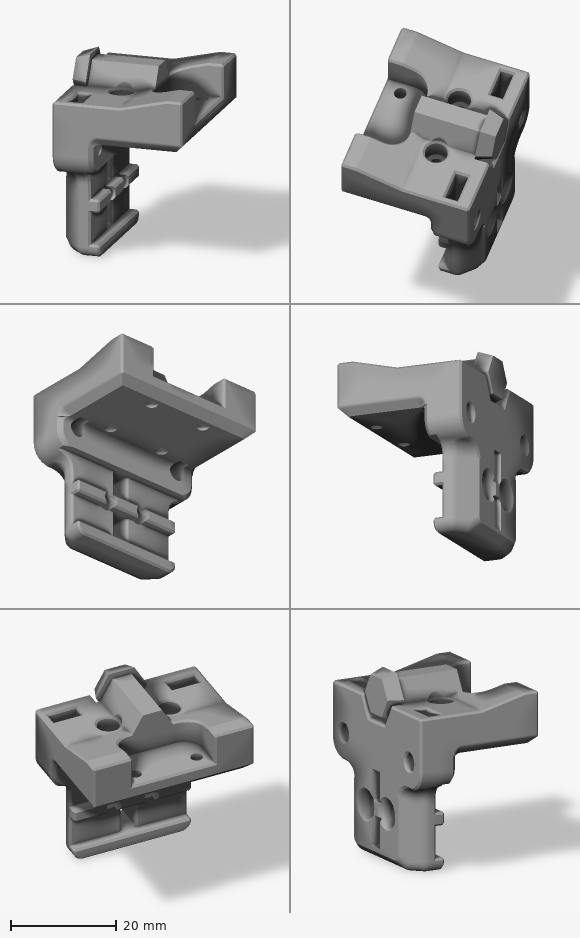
import cadquery as cq
import math

length = 26.0
width = 34.0
height = 37.45
edge_chamfer = 0.4

deck_top = 31.9
raised_top = 34.2
slope_start = 13.5
slope_end = 22.85
arm_bottom = 23.78
arm_bevel = 1.65
arm_bevel_round = 0.85
inner_corner_round = 0.9

plate_depth = 8.0
plate_bottom = 17.2
plate_corner_round = 4.0
plate_back_chamfer = 0.85

leg_width = 24.8
leg_side_bevel = 3.9
leg_bottom_bevel = 1.95
leg_round = 2.0
leg_plate_round = 3.0

leg_depth = 6.15
recess_height = 6.35
rib_height = 2.65
slot_width = 3.07
slot_corner_round = 0.4

leg_hole_spacing = 8.0
leg_hole_diameter = 3.2
leg_countersink_diameter = 6.55
plate_hole_spacing = 25.0
plate_hole_diameter = 3.4
plate_hole_height = 22.5
plate_hole_depth = 10.0

nut_pocket_start = 2.85
nut_pocket_thickness = 2.55
nut_pocket_width = 5.8

deck_hole_spacing = 12.9
deck_hole_diameter = 2.4
deck_hole_x = 10.5
notch_hole_x = 22.47
counterbore_diameter = 4.4
notch_start = 16.5
notch_width = 17.38
notch_floor = 27.8
notch_corner_round = 4.0

cap_flats = 9.45
cap_front_flats = 7.5
cap_length = 3.0
cap_back_gap = 0.15
cap_side_gap = 0.45
ridge_top = 36.25
ridge_top_width = 4.0
hex_centre = height - cap_flats / 2

half_width = width / 2
half_leg = leg_width / 2
rib_tops = [rib_height, 2 * rib_height + recess_height]
recess_top = rib_tops[-1] + recess_height

convex_y = half_width - plate_corner_round
convex_z = plate_bottom + plate_corner_round
concave_y = half_leg + leg_plate_round
centre_distance = plate_corner_round + leg_plate_round
concave_z = convex_z - math.sqrt(centre_distance**2 - (concave_y - convex_y) ** 2)

round_reach = arm_bevel_round * math.tan(math.pi / 8)
bevel_rise = arm_bevel + round_reach
corner_x = plate_depth - plate_back_chamfer + bevel_rise


def select_edges(body, test):
    """Edges whose centre passes the test, put back on the body's stack."""
    return body.newObject([edge for edge in body.edges().vals() if test(edge.Center())])


def box(x, y, z):
    """Box between the given (low, high) pairs."""
    sizes = (x[1] - x[0], y[1] - y[0], z[1] - z[0])
    return cq.Workplane("XY").box(*sizes, centered=False).translate((x[0], y[0], z[0]))


def prism_along_y(points, span):
    return cq.Workplane("XZ").polyline(points).close().extrude(span / 2, both=True)


def hexagon(front_flats, back_flats, x, depth):
    """Straight or tapered hexagonal prism along X, with a flat on top."""
    to_corners = 1 / math.cos(math.pi / 6)
    return (
        cq.Workplane("YZ", origin=(x, 0, hex_centre))
        .polygon(6, front_flats * to_corners)
        .workplane(offset=depth)
        .polygon(6, back_flats * to_corners)
        .loft(ruled=True)
    )


def on_both_sides(body):
    return body.union(body.mirror("XZ"))


def bevel_section():
    """Section removed at the arm's lower side edge: a 45 degree bevel rounded where it meets the side."""
    turn = math.pi / 8
    mid_y = half_width - arm_bevel_round * (1 - math.cos(turn))
    mid_z = bevel_rise - arm_bevel_round * math.sin(turn)
    bevel_end = round_reach * math.sqrt(0.5)
    return (
        cq.Workplane("YZ", origin=(corner_x, 0, arm_bottom))
        .moveTo(half_width - arm_bevel, 0)
        .lineTo(half_width - bevel_end, arm_bevel - bevel_end)
        .threePointArc((mid_y, mid_z), (half_width, bevel_rise))
        .lineTo(half_width, 0)
        .close()
    )


def chamfer_deck(arm):
    """Chamfers the arm's edges at the front, along both sides of the top and around the end."""

    def is_chamfered(centre):
        front = centre.x < 0.05 and centre.z > arm_bottom + 0.05
        side = abs(centre.y) > half_width - 0.05 and centre.z > deck_top - 0.05
        end = centre.x > length - 0.05 and centre.z > arm_bottom + 0.05
        return front or side or end

    return select_edges(arm, is_chamfered).chamfer(edge_chamfer)


def make_arm():
    """Deck with a ramp up to its raised end, bevelled along the underside beyond the plate."""
    outline = [
        (0, arm_bottom),
        (length, arm_bottom),
        (length, raised_top),
        (slope_end, raised_top),
        (slope_start, deck_top),
        (0, deck_top),
    ]
    arm = chamfer_deck(prism_along_y(outline, width))
    straight_bevel = bevel_section().extrude(length - corner_x)
    corner_bevel = bevel_section().revolve(360, (0, 0), (1, 0))
    for cutter in (straight_bevel, corner_bevel):
        arm = arm.cut(on_both_sides(cutter))
    bevel_top = arm_bottom + arm_bevel
    end_bevel = [(length, arm_bottom), (length, bevel_top), (length - arm_bevel, arm_bottom)]
    return arm.cut(prism_along_y(end_bevel, width))


def shoulder_outline():
    """Half outline of leg and plate, up to the arm."""
    share = plate_corner_round / centre_distance
    join_y = convex_y + share * (concave_y - convex_y)
    join_z = convex_z + share * (concave_z - convex_z)
    tilt = math.atan2(convex_z - concave_z, concave_y - convex_y)
    concave_mid = (
        concave_y - leg_plate_round * math.cos(tilt / 2),
        concave_z + leg_plate_round * math.sin(tilt / 2),
    )
    convex_mid = (
        convex_y + plate_corner_round * math.cos(tilt / 2),
        convex_z - plate_corner_round * math.sin(tilt / 2),
    )
    return (
        cq.Workplane("YZ")
        .lineTo(half_leg, 0)
        .lineTo(half_leg, concave_z)
        .threePointArc(concave_mid, (join_y, join_z))
        .threePointArc(convex_mid, (half_width, convex_z))
        .lineTo(half_width, arm_bottom)
        .lineTo(0, arm_bottom)
        .close()
    )


def side_bevel_cutter():
    """Removes the leg's front corner and runs out under the plate in a concave round."""
    slant = math.sqrt(0.5)
    run_out = plate_bottom - concave_z
    plane = cq.Plane(
        origin=(0, half_leg - leg_side_bevel, 0),
        xDir=(-slant, slant, 0),
        normal=(slant, slant, 0),
    )
    return (
        cq.Workplane(plane)
        .lineTo(0, concave_z)
        .threePointArc(
            (run_out * (1 - slant), concave_z + run_out * slant),
            (run_out, plate_bottom),
        )
        .lineTo(2 * leg_side_bevel, plate_bottom)
        .lineTo(2 * leg_side_bevel, 0)
        .close()
        .extrude(2 * leg_side_bevel, both=True)
    )


def round_leg(body):
    """Rounds the leg's front bevels, its lower corners and the run-out under the plate."""

    def is_rounded(centre):
        off_centre = abs(centre.y) > half_leg - leg_side_bevel
        side = leg_side_bevel - 0.37 < centre.x < leg_depth - 0.37 and 0.37 < centre.z < concave_z - 0.37
        bottom = centre.z < 0.05 and centre.x < leg_depth - 0.05
        mitre = 0.05 < centre.x < leg_bottom_bevel and 0.05 < centre.z < leg_bottom_bevel and off_centre
        run_out = 0.75 < centre.x < leg_side_bevel and concave_z + 0.37 < centre.z < plate_bottom - 0.05
        return side or bottom or mitre or run_out

    return select_edges(body, is_rounded).fillet(leg_round)


def make_slab():
    """Leg and front layer of the plate."""
    outline = on_both_sides(shoulder_outline().extrude(leg_depth))
    slab = outline.cut(on_both_sides(side_bevel_cutter()))
    bottom_bevel = [(0, 0), (leg_bottom_bevel, 0), (0, leg_bottom_bevel)]
    slab = round_leg(slab.cut(prism_along_y(bottom_bevel, leg_width)))
    leg = slab.intersect(box((0, leg_depth), (-half_width, half_width), (0, concave_z)))
    plate = slab.cut(leg)
    plate = plate.faces("<X").edges("not(<Z or >Z)").chamfer(edge_chamfer)
    slab = plate.union(leg)

    def is_leg_back(centre):
        return centre.x > leg_depth - 0.05 and 0.37 < centre.z < plate_bottom and abs(centre.y) > half_leg - 0.37

    return select_edges(slab, is_leg_back).chamfer(edge_chamfer)


def make_plate_back():
    """Rear layer of the plate with its chamfered rim and the round under the arm."""
    plate = on_both_sides(shoulder_outline().extrude(plate_depth))
    plate = plate.faces(">X").edges("not(<Z or >Z)").chamfer(plate_back_chamfer)
    layer = box((leg_depth - edge_chamfer, plate_depth), (-half_width, half_width), (recess_top, arm_bottom))
    plate = plate.intersect(layer)
    reach = inner_corner_round
    corner = (
        cq.Workplane("XZ", origin=(plate_depth, 0, arm_bottom))
        .lineTo(0, -reach)
        .threePointArc((reach * (1 - math.sqrt(0.5)), -reach * (1 - math.sqrt(0.5))), (reach, 0))
        .close()
        .extrude(half_width, both=True)
    )
    chamfer_end = half_width - plate_back_chamfer
    wedge = (
        cq.Workplane("XY", origin=(plate_depth, 0, arm_bottom - reach))
        .moveTo(0, chamfer_end)
        .lineTo(reach, chamfer_end - reach)
        .lineTo(reach, half_width)
        .lineTo(0, half_width)
        .close()
        .extrude(reach)
    )
    return plate.union(corner.cut(on_both_sides(wedge)))


def make_rib(top):
    """Rib across the back of the leg; the lowest one follows the leg's round lower corners."""
    bottom = top - rib_height
    rib = box((leg_depth - edge_chamfer, plate_depth), (-half_leg, half_leg), (bottom, top))
    if bottom == 0:
        rib = rib.edges("|X and <Z").fillet(leg_round)

    def is_chamfered(centre):
        tip = centre.x > plate_depth - 0.05
        side = abs(centre.y) > half_leg - 0.05 and centre.x > leg_depth
        on_recess = abs(centre.z - top) < 0.05 or 0 < bottom and abs(centre.z - bottom) < 0.05
        return tip or side and on_recess

    return select_edges(rib, is_chamfered).chamfer(edge_chamfer)


def notch_cutter():
    notch = box((notch_start, length), (-notch_width / 2, notch_width / 2), (notch_floor, raised_top))
    return notch.edges("|Z and <X").fillet(notch_corner_round)


def chamfer_notch(body):
    """Chamfers the notch's rim on the ramp and its three edges at the end of the arm."""

    def is_rim(centre):
        inside = abs(centre.y) < notch_width / 2 + 0.05
        top = centre.x > notch_start - 0.05 and centre.z > deck_top + 0.05
        end = centre.x > length - 0.05 and centre.z > notch_floor - 0.05
        return inside and (top or end)

    return select_edges(body, is_rim).chamfer(edge_chamfer)


def make_ridge():
    """Ridge along the deck behind the cap, with a flat top and sides at 60 degrees."""
    start = cap_length + cap_back_gap
    half_top = ridge_top_width / 2
    half_foot = half_top + (ridge_top - deck_top) / math.tan(math.pi / 3)
    section = [(-half_foot, deck_top), (half_foot, deck_top), (half_top, ridge_top), (-half_top, ridge_top)]
    return cq.Workplane("YZ", origin=(start, 0, 0)).polyline(section).close().extrude(notch_start - start)


def cap_recess():
    start_flats = cap_flats + 2 * cap_side_gap
    recess = hexagon(start_flats, start_flats, 0, cap_length + cap_back_gap)
    return recess.union(hexagon(start_flats + 2 * edge_chamfer, start_flats, 0, edge_chamfer))


def deck_hole():
    """Through hole with a counterbore whose rim is chamfered at deck height and straight above it."""
    bore = deck_hole_diameter / 2
    counterbore = counterbore_diameter / 2
    rim = counterbore + edge_chamfer
    section = [
        (0, arm_bottom),
        (bore, arm_bottom),
        (bore, notch_floor),
        (counterbore, notch_floor),
        (counterbore, deck_top - edge_chamfer),
        (rim, deck_top),
        (rim, height),
        (0, height),
    ]
    hole = cq.Workplane("XZ").polyline(section).close().revolve(360, (0, 0), (0, 1))
    return hole.translate((deck_hole_x, deck_hole_spacing / 2, 0))


def notch_hole():
    hole = cq.Workplane("XY", origin=(notch_hole_x, deck_hole_spacing / 2, arm_bottom))
    return hole.circle(deck_hole_diameter / 2).extrude(notch_floor - arm_bottom)


def nut_pocket():
    """Pocket for a hexagonal nut, open to the deck, around the plate hole."""
    half_nut = nut_pocket_width / 2
    tip_drop = half_nut / math.cos(math.pi / 6)
    outline = [
        (-half_nut, deck_top - plate_hole_height),
        (-half_nut, -tip_drop / 2),
        (0, -tip_drop),
        (half_nut, -tip_drop / 2),
        (half_nut, deck_top - plate_hole_height),
    ]
    plane_origin = (nut_pocket_start, plate_hole_spacing / 2, plate_hole_height)
    pocket = cq.Workplane("YZ", origin=plane_origin).polyline(outline).close().extrude(nut_pocket_thickness)
    middle = (nut_pocket_start + nut_pocket_thickness / 2, plate_hole_spacing / 2, deck_top - edge_chamfer)
    rim = (
        cq.Workplane("XY", origin=middle)
        .rect(nut_pocket_thickness, nut_pocket_width)
        .workplane(offset=edge_chamfer)
        .rect(nut_pocket_thickness + 2 * edge_chamfer, nut_pocket_width + 2 * edge_chamfer)
        .loft(ruled=True)
    )
    return pocket.union(rim)


def front_hole(diameter, rim_diameter, depth, y, z):
    """Hole along X with a 45 degree countersunk rim at the front."""
    radius = diameter / 2
    rim = rim_diameter / 2
    section = [(0, 0), (0, rim), (rim - radius, radius), (depth, radius), (depth, 0)]
    hole = cq.Workplane("XY").polyline(section).close().revolve(360, (0, 0), (1, 0))
    return hole.translate((0, y, z))


def leg_slot(top):
    """Slot through the leg above a rib, flared along both sides where it opens into the recess."""
    slot = box((0, leg_depth), (-slot_width / 2, slot_width / 2), (top, top + recess_height))
    slot = slot.edges("|X").fillet(slot_corner_round)
    half_slot = slot_width / 2
    flare = (
        cq.Workplane("XY", origin=(leg_depth, 0, top))
        .moveTo(-edge_chamfer, half_slot)
        .lineTo(0, half_slot + edge_chamfer)
        .lineTo(0, -half_slot - edge_chamfer)
        .lineTo(-edge_chamfer, -half_slot)
        .close()
        .extrude(recess_height)
    )
    return slot.union(flare)


def make_housing():
    housing = make_arm().union(make_slab()).union(make_plate_back())
    for top in rib_tops:
        housing = housing.union(make_rib(top))
    housing = chamfer_notch(housing.cut(notch_cutter()))
    housing = housing.union(make_ridge())
    housing = housing.cut(cap_recess())
    leg_hole_height = rib_tops[1] - rib_height / 2
    plate_hole_rim = plate_hole_diameter + 2 * edge_chamfer
    side_cutters = [
        deck_hole(),
        notch_hole(),
        nut_pocket(),
        front_hole(plate_hole_diameter, plate_hole_rim, plate_hole_depth, plate_hole_spacing / 2, plate_hole_height),
        front_hole(leg_hole_diameter, leg_countersink_diameter, plate_depth, leg_hole_spacing / 2, leg_hole_height),
    ]
    for cutter in side_cutters:
        housing = housing.cut(cutter).cut(cutter.mirror("XZ"))
    for top in rib_tops:
        housing = housing.cut(leg_slot(top))
    return housing


def make_cap():
    return hexagon(cap_front_flats, cap_flats, 0, cap_length)


housing = make_housing()
cap = make_cap()
result = cq.Compound.makeCompound([housing.val(), cap.val()])